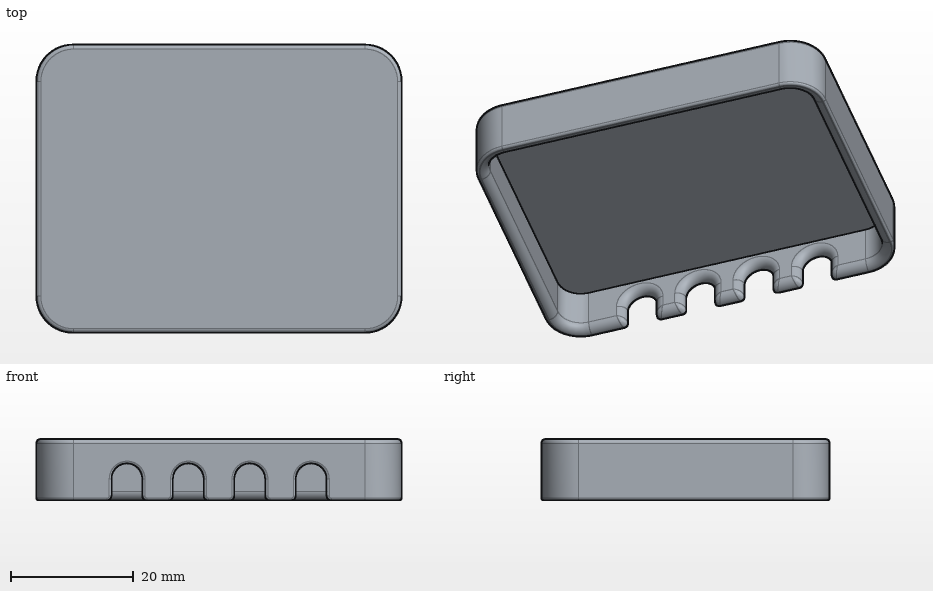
import cadquery as cq
import math

length = 59.5
width = 46.95
height = 10.0
corner_radius = 6.0
wall = 2.0

top_round = 0.7
outer_rim_round = 0.4
inner_rim_round = 1.5

slot_count = 4
slot_pitch = 10.0
slot_width = 5.0
slot_spring_height = 3.5
foot_round = 0.8

slot_radius = slot_width / 2
slot_top = slot_spring_height + slot_radius
slot_centres = [(i - (slot_count - 1) / 2) * slot_pitch for i in range(slot_count)]
front_y = -width / 2


def rounded_block(x_size, y_size, z_size, radius):
    """Block standing on Z = 0 with rounded vertical corners."""
    block = cq.Workplane("XY").box(x_size, y_size, z_size, centered=(True, True, False))
    return block.edges("|Z").fillet(radius)


def cover_shell():
    """Hollow cover with a rounded top edge."""
    body = rounded_block(length, width, height, corner_radius)
    body = body.faces(">Z").edges().fillet(top_round)
    cavity = rounded_block(length - 2 * wall, width - 2 * wall, height - wall, corner_radius - wall)
    return body.cut(cavity)


def slot_cutter(x_centre):
    """Arch-topped slot through the front wall, flared at the rim to round the feet."""
    flared_half = slot_radius + foot_round
    bend = foot_round * (1 - math.sqrt(0.5))
    return (
        cq.Workplane("XZ", origin=(x_centre, front_y + wall, 0))
        .moveTo(-flared_half, 0)
        .threePointArc((-slot_radius - bend, bend), (-slot_radius, foot_round))
        .lineTo(-slot_radius, slot_spring_height)
        .threePointArc((0, slot_top), (slot_radius, slot_spring_height))
        .lineTo(slot_radius, foot_round)
        .threePointArc((slot_radius + bend, bend), (flared_half, 0))
        .close()
        .extrude(wall)
    )


def rim_edge_zones():
    """Selectors for the outer and the inner edges of the rim and slots."""
    half_wall = wall / 2
    quarter_wall = wall / 4
    middle_x = length / 2 - half_wall
    middle_y = width / 2 - half_wall
    straight_half = length / 2 - corner_radius

    lower_zone = cq.selectors.BoxSelector(
        (-length, -width, -wall), (length, width, slot_top + quarter_wall), boundingbox=True
    )
    inside_zone = cq.selectors.BoxSelector(
        (-middle_x, -middle_y, -wall), (middle_x, middle_y, height), boundingbox=True
    )
    crossing_zone = cq.selectors.BoxSelector(
        (-straight_half, front_y + quarter_wall, -wall),
        (straight_half, front_y + wall - quarter_wall, height),
    )
    return lower_zone - inside_zone - crossing_zone, lower_zone & inside_zone


cover = cover_shell()
for slot_centre in slot_centres:
    cover = cover.cut(slot_cutter(slot_centre))

outer_zone, inner_zone = rim_edge_zones()
cover = cover.edges(outer_zone).fillet(outer_rim_round)
result = cover.edges(inner_zone).fillet(inner_rim_round)